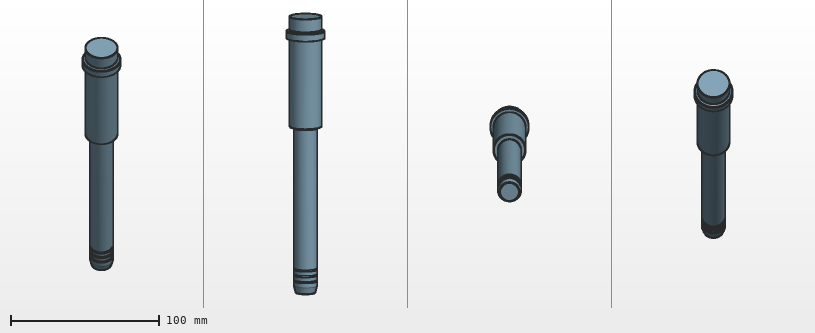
import cadquery as cq

total_length = 190.0

sleeve_radius = 11.0
head_length = 9.9
head_top_chamfer = 0.4
sleeve_end_z = 114.0
sleeve_chamfer = 0.5

relief_radius = 10.3
relief_width = 0.4
relief_chamfer = 0.5

undercut_depth = 0.2
undercut_width = 0.5

collar_radius = 26.0 / 2
collar_width = 5.1
collar_chamfer = 0.5

stem_radius = 8.0
neck_radius = 7.5
neck_length = 1.0

groove_count = 3
groove_pitch = 4.0
groove_radius = 0.5
lowest_groove_z = 8.5

taper_length = 5.1
tip_radius = 6.8
tip_chamfer = 0.5


def make_body():
    """Revolve the stepped half profile around Z."""
    collar_top_z = total_length - head_length
    collar_bottom_z = collar_top_z - collar_width
    undercut_bottom_z = collar_bottom_z - undercut_width
    relief_top_z = collar_top_z + relief_width
    stem_top_z = sleeve_end_z - neck_length
    profile = [
        (0, 0),
        (tip_radius - tip_chamfer, 0),
        (tip_radius, tip_chamfer),
        (stem_radius, taper_length),
        (stem_radius, stem_top_z),
        (neck_radius, stem_top_z),
        (neck_radius, sleeve_end_z),
        (sleeve_radius - sleeve_chamfer, sleeve_end_z),
        (sleeve_radius, sleeve_end_z + sleeve_chamfer),
        (sleeve_radius, undercut_bottom_z),
        (sleeve_radius - undercut_depth, undercut_bottom_z),
        (sleeve_radius - undercut_depth, collar_bottom_z),
        (collar_radius, collar_bottom_z),
        (collar_radius, collar_top_z - collar_chamfer),
        (collar_radius - collar_chamfer, collar_top_z),
        (relief_radius, collar_top_z),
        (relief_radius, relief_top_z),
        (sleeve_radius - relief_chamfer, relief_top_z),
        (sleeve_radius, relief_top_z + relief_chamfer),
        (sleeve_radius, total_length - head_top_chamfer),
        (sleeve_radius - head_top_chamfer, total_length),
        (0, total_length),
    ]
    return cq.Workplane("XZ").polyline(profile).close().revolve(360, (0, 0), (0, 1))


def make_groove(center_z):
    """Ring of round section that leaves a half-round groove in the stem."""
    return (
        cq.Workplane("XZ")
        .center(stem_radius, center_z)
        .circle(groove_radius)
        .revolve(360, (-stem_radius, 0), (-stem_radius, 1))
    )


result = make_body()
for index in range(groove_count):
    result = result.cut(make_groove(lowest_groove_z + index * groove_pitch))